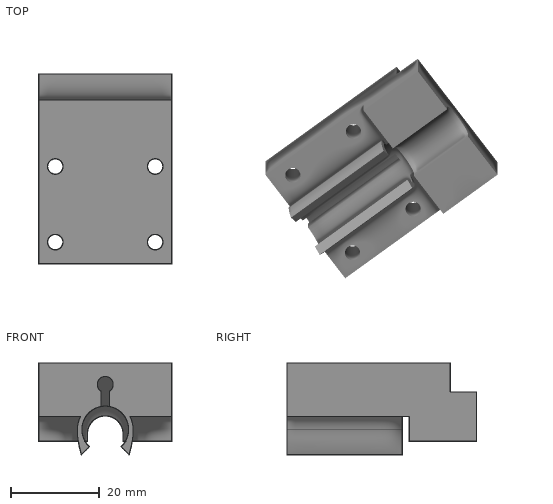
import cadquery as cq

width = 30.0
length = 42.75
height = 20.7

plate_thickness = 12.1
block_height = 17.7
block_front = 27.55
ledge_length = 5.95
ledge_drop = 6.55
plate_bottom = height - plate_thickness
block_bottom = height - block_height

axis_drop = 15.0
axis_z = height - axis_drop
bore_diameter = 10.5

clip_length = 26.0
clip_radius = 6.3
tip_x = 5.4
flare_mid_z = axis_z / 2
flare_mid_x = clip_radius - (clip_radius - tip_x) / 4

channel_width = 7.95
channel_top = height - 11.95

relief_diameter = 3.6
relief_drop = 4.87
relief_z = height - relief_drop
relief_depth = clip_length
slot_width = 2.0

hole_diameter = 3.4
hole_spacing_x = 22.5
hole_spacing_y = 17.0
front_hole_y = 4.87


def front_plane(y=0.0):
    """Plane facing -Y at depth y, with local axes X and Z; positive extrusion runs toward -Y."""
    return cq.Workplane("XZ", origin=(0, y, 0))


def make_body():
    """Plate with a lowered rear ledge and a deep rear block."""
    return (
        cq.Workplane("YZ", origin=(-width / 2, 0, 0))
        .moveTo(0, plate_bottom)
        .lineTo(0, height)
        .lineTo(length - ledge_length, height)
        .lineTo(length - ledge_length, height - ledge_drop)
        .lineTo(length, height - ledge_drop)
        .lineTo(length, block_bottom)
        .lineTo(block_front, block_bottom)
        .lineTo(block_front, plate_bottom)
        .close()
        .extrude(width)
    )


def make_clip():
    """Round clip with flared arms, cut off by 45 degree faces at the tips."""
    return (
        front_plane()
        .moveTo(-clip_radius, axis_z)
        .threePointArc((0, axis_z + clip_radius), (clip_radius, axis_z))
        .threePointArc((flare_mid_x, flare_mid_z), (tip_x, 0))
        .lineTo(0, tip_x)
        .lineTo(-tip_x, 0)
        .threePointArc((-flare_mid_x, flare_mid_z), (-clip_radius, axis_z))
        .close()
        .extrude(-clip_length)
    )


def make_bore():
    """Bore from the front face to the rear block."""
    return front_plane().center(0, axis_z).circle(bore_diameter / 2).extrude(-block_front)


def make_relief():
    """Round relief joined to the bore by a narrow slot, as deep as the clip is long."""
    relief = front_plane().center(0, relief_z).circle(relief_diameter / 2).extrude(-relief_depth)
    slot = (
        front_plane()
        .center(0, (relief_z + axis_z) / 2)
        .rect(slot_width, relief_z - axis_z)
        .extrude(-relief_depth)
    )
    return relief.union(slot)


def make_channel():
    """Round-topped channel, open downward, through the rear block."""
    half_width = channel_width / 2
    spring_z = channel_top - half_width
    return (
        front_plane(block_front)
        .moveTo(-half_width, block_bottom)
        .lineTo(-half_width, spring_z)
        .threePointArc((0, channel_top), (half_width, spring_z))
        .lineTo(half_width, block_bottom)
        .close()
        .extrude(block_front - length)
    )


def make_holes():
    """Four vertical through holes in the plate."""
    return (
        cq.Workplane("XY", origin=(0, front_hole_y + hole_spacing_y / 2, plate_bottom))
        .rarray(hole_spacing_x, hole_spacing_y, 2, 2)
        .circle(hole_diameter / 2)
        .extrude(plate_thickness)
    )


result = make_body().union(make_clip())
for cutter in (make_bore(), make_relief(), make_channel(), make_holes()):
    result = result.cut(cutter)